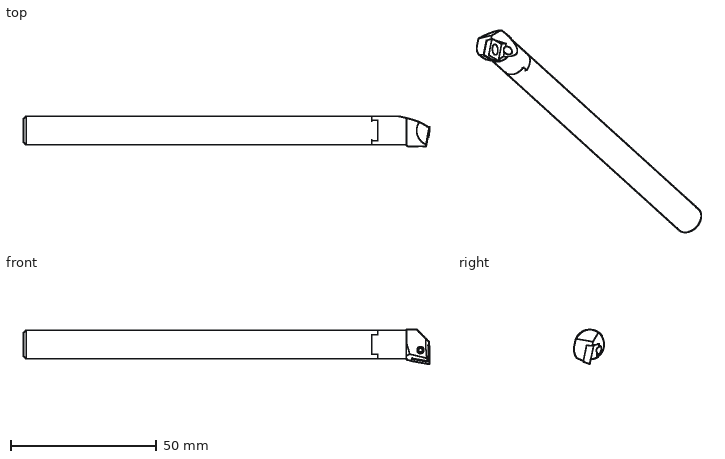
import cadquery as cq
import math

total_length = 140.0

shank_diameter = 10.0
shank_radius = shank_diameter / 2
rear_chamfer = 1.0
joint_x = 122.1
tongue_length = 2.1
tongue_thickness = 6.9

bore_diameter = 2.8
elbow_x = 126.0
outlet_length = 11.2
outlet_direction = cq.Vector(1, 0.5, -0.3)

collar_x = 131.9
head_radius = 5.2
lobe_shift = 1.7
top_bevel_x = 135.5
top_bevel_angle = 45.0

flute_start_x = 129.0
flute_angle = 20.5

tip_z = -6.9
tip_y = 0.0
rake_tilt = 11.5
insert_edge = 6.5
insert_point_angle = 80.0
insert_nose_radius = 0.3
insert_thickness = 2.4
insert_relief = 7.0

head_relief = 10.0
head_setback = 0.1

screw_diameter = 2.2
screw_head_diameter = 3.6
screw_head_height = 1.3
screw_length = 6.0
screw_end_chamfer = 0.4

clear = 28.0

tilt = math.radians(rake_tilt)
rake_plane = cq.Plane(
    origin=(total_length, tip_y, tip_z),
    xDir=(-1, 0, 0),
    normal=(0, math.cos(tilt), -math.sin(tilt)),
)
back_edge_angle = math.radians(90 - insert_point_angle)


def corner_outline(length, setback=0.0):
    """Rhombus with one upright edge at the front and its corner at the cutting point."""
    back_x = length * math.cos(back_edge_angle)
    back_y = length * math.sin(back_edge_angle)
    corner_y = setback / math.cos(back_edge_angle) + setback * math.tan(back_edge_angle)
    return cq.Workplane(rake_plane).polyline([
        (setback, corner_y),
        (setback + back_x, corner_y + back_y),
        (setback + back_x, corner_y + back_y + length),
        (setback, corner_y + length),
    ]).close()


def insert_blank():
    """Insert without its screw hole: relieved sides and rounded corners."""
    blank = corner_outline(insert_edge).extrude(-insert_thickness, taper=insert_relief)
    top_and_bottom = cq.selectors.PerpendicularDirSelector(rake_plane.zDir)
    corners = blank.edges(cq.selectors.InverseSelector(top_and_bottom))
    return corners.fillet(insert_nose_radius)


def along_x(start, radius, length):
    """Cylinder on the tool axis."""
    return cq.Workplane("YZ", origin=(start, 0, 0)).circle(radius).extrude(length)


centre_x = insert_edge * math.cos(back_edge_angle) / 2
centre_y = insert_edge * (1 + math.sin(back_edge_angle)) / 2


def make_screw():
    """Countersunk screw along the seat normal, its top flush with the rake face."""
    shaft_radius = screw_diameter / 2
    profile = (
        cq.Workplane("XZ")
        .polyline([
            (0, 0),
            (screw_head_diameter / 2, 0),
            (shaft_radius, -screw_head_height),
            (shaft_radius, screw_end_chamfer - screw_length),
            (shaft_radius - screw_end_chamfer, -screw_length),
            (0, -screw_length),
        ])
        .close()
        .revolve(360, (0, 0, 0), (0, 1, 0))
    )
    seat = cq.Plane(
        origin=rake_plane.toWorldCoords((centre_x, centre_y, 0)),
        xDir=rake_plane.xDir,
        normal=rake_plane.zDir,
    )
    return cq.Workplane(profile.val().moved(cq.Location(seat)))


def screw_hole():
    """Hole that fits the screw shaft and runs out through the back of the head."""
    return (
        cq.Workplane(rake_plane)
        .center(centre_x, centre_y)
        .circle(screw_diameter / 2)
        .extrude(-clear)
    )


def make_coolant_channel():
    """Bore along the shank axis with a rounded elbow into the slanted outlet."""
    radius = bore_diameter / 2
    bore = along_x(0, radius, elbow_x)
    elbow = cq.Workplane("XY").sphere(radius).translate((elbow_x, 0, 0))
    outlet = cq.Solid.makeCylinder(radius, outlet_length, cq.Vector(elbow_x, 0, 0), outlet_direction)
    return bore.union(elbow).union(cq.Workplane(outlet))


def make_tongue():
    """Flat tongue of the head, with rounded sides flush with the shank."""
    return (
        along_x(joint_x - tongue_length, shank_radius, tongue_length)
        .intersect(cq.Workplane("XY").box(2 * total_length, clear, tongue_thickness))
    )


def make_shank(tongue, channel):
    """Round shank, bored through and slotted at the front for the tongue."""
    shank = along_x(0, shank_radius, joint_x).faces("<X").chamfer(rear_chamfer)
    return shank.cut(tongue).cut(channel)


def make_flute():
    """Half space in front of the plane that slopes down toward the cutting corner."""
    start = cq.Plane(
        origin=(flute_start_x, shank_radius, 0),
        xDir=(math.cos(math.radians(flute_angle)), -math.sin(math.radians(flute_angle)), 0),
        normal=cq.Vector(math.tan(math.radians(flute_angle)), 1, -math.tan(tilt)),
    )
    return cq.Workplane(start).rect(2 * clear, 2 * clear).extrude(clear)


def make_cutting_head():
    """Collar and lobe in front of the neck, trimmed by relief faces, rear cone and top bevel."""
    length = total_length - collar_x
    collar = along_x(collar_x, head_radius, length)
    middle = (
        cq.Workplane("YZ", origin=(collar_x, 0, 0))
        .rect(2 * head_radius, lobe_shift)
        .extrude(length)
        .translate((0, 0, -lobe_shift / 2))
    )
    lobe = middle.union(collar.translate((0, 0, -lobe_shift)))
    lobe = lobe.rotate((0, 0, 0), (1, 0, 0), -rake_tilt)
    below_rake = cq.Workplane(rake_plane).rect(2 * clear, 2 * clear).extrude(-clear)
    head = collar.union(lobe.intersect(below_rake))

    relief = corner_outline(clear, head_setback).extrude(-clear / 2, taper=head_relief)
    front = corner_outline(clear, head_setback).extrude(clear / 2)
    head = head.intersect(relief.union(front))

    cone = cq.Solid.makeCone(
        shank_radius, shank_radius + clear, clear, cq.Vector(collar_x, 0, 0), cq.Vector(1, 0, 0)
    )
    head = head.intersect(cq.Workplane(cone))

    bevel_run = clear / math.tan(math.radians(top_bevel_angle))
    bevel = (
        cq.Workplane("XZ", origin=(0, clear, 0))
        .polyline([
            (top_bevel_x, head_radius),
            (top_bevel_x + bevel_run, head_radius - clear),
            (top_bevel_x + bevel_run, head_radius),
        ])
        .close()
        .extrude(2 * clear)
    )
    return head.cut(bevel)


def make_head(tongue, channel):
    """Neck with its tongue and the cutting head, cut for the flute, insert, screw and coolant."""
    neck = along_x(joint_x, shank_radius, collar_x - joint_x)
    head = neck.union(tongue).union(make_cutting_head()).cut(make_flute())
    above_insert = corner_outline(insert_edge).extrude(clear)
    return head.cut(insert_blank()).cut(above_insert).cut(screw_hole()).cut(channel)


channel = make_coolant_channel()
tongue = make_tongue()
screw = make_screw()
shank = make_shank(tongue, channel)
head = make_head(tongue, channel)
insert = insert_blank().cut(screw)

result = cq.Compound.makeCompound([
    shank.solids().val(),
    head.solids().val(),
    insert.solids().val(),
    screw.val(),
])